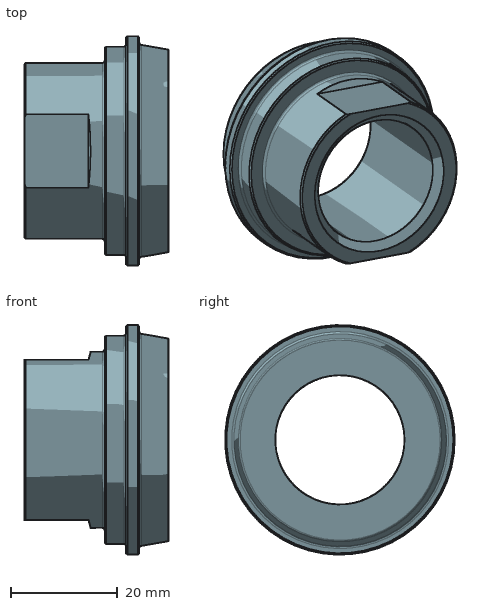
import cadquery as cq
import math

shoulder_start = 15.0
flange_start = 19.0
flange_end = 21.5
length = 27.0

hub_radius = 33.0 / 2
shoulder_radius = 39.0 / 2
flange_radius = 43.0 / 2
nose_end_radius = 18.95
bore_radius = 24.12 / 2
nose_angle = 10.0
nose_taper = (length - flange_end) * math.tan(math.radians(nose_angle))
nose_root_radius = nose_end_radius + nose_taper

rim_chamfer = 0.3
root_fillet = 0.45
nose_end_fillet = 0.3
bore_chamfer = 1.5
flat_height = 15.0
flat_length = 12.0
flat_end_angle = 15.0


def make_body():
    """Turned outline: hub, shoulder, flange and tapered nose."""
    return (
        cq.Workplane("XY")
        .moveTo(0, 0)
        .lineTo(0, hub_radius)
        .lineTo(shoulder_start, hub_radius)
        .lineTo(shoulder_start, shoulder_radius)
        .lineTo(flange_start, shoulder_radius)
        .lineTo(flange_start, flange_radius)
        .lineTo(flange_end, flange_radius)
        .lineTo(flange_end, nose_root_radius)
        .lineTo(length, nose_end_radius)
        .lineTo(length, 0)
        .close()
        .revolve(360, (0, 0, 0), (1, 0, 0))
    )


def circle_at(x, radius):
    """Selector for the circular edge of the given radius in the plane at x."""
    tolerance = 0.05
    reach = radius + tolerance
    return cq.selectors.BoxSelector(
        (x - tolerance, -reach, -reach),
        (x + tolerance, reach, reach),
        boundingbox=True,
    ) - cq.selectors.BoxSelector(
        (x - tolerance, -radius + tolerance, -radius + tolerance),
        (x + tolerance, radius - tolerance, radius - tolerance),
        boundingbox=True,
    )


def round_and_break_edges(body):
    """Fillet the inside corners and nose tip, and chamfer the other rims."""
    roots = [
        (shoulder_start, hub_radius),
        (flange_start, shoulder_radius),
        (flange_end, nose_root_radius),
    ]
    rims = [
        (0, hub_radius),
        (shoulder_start, shoulder_radius),
        (flange_start, flange_radius),
        (flange_end, flange_radius),
    ]
    for x, radius in roots:
        body = body.edges(circle_at(x, radius)).fillet(root_fillet)
    for x, radius in rims:
        body = body.edges(circle_at(x, radius)).chamfer(rim_chamfer)
    return body.edges(circle_at(length, nose_end_radius)).fillet(nose_end_fillet)


def make_bore():
    """Through bore with a wide chamfer at the hub end."""
    mouth_radius = bore_radius + bore_chamfer
    return (
        cq.Workplane("XY")
        .moveTo(0, 0)
        .lineTo(0, mouth_radius)
        .lineTo(bore_chamfer, bore_radius)
        .lineTo(length, bore_radius)
        .lineTo(length, 0)
        .close()
        .revolve(360, (0, 0, 0), (1, 0, 0))
    )


def make_flat_cutter(side):
    """Material above (side = 1) or below (side = -1) the hub's wrench flat."""
    cut_depth = hub_radius - flat_height
    lean = cut_depth * math.tan(math.radians(flat_end_angle))
    return (
        cq.Workplane("XZ")
        .moveTo(0, side * flat_height)
        .lineTo(flat_length, side * flat_height)
        .lineTo(flat_length + lean, side * hub_radius)
        .lineTo(0, side * hub_radius)
        .close()
        .extrude(hub_radius, both=True)
    )


result = round_and_break_edges(make_body()).cut(make_bore())
for flat_side in (1, -1):
    result = result.cut(make_flat_cutter(flat_side))